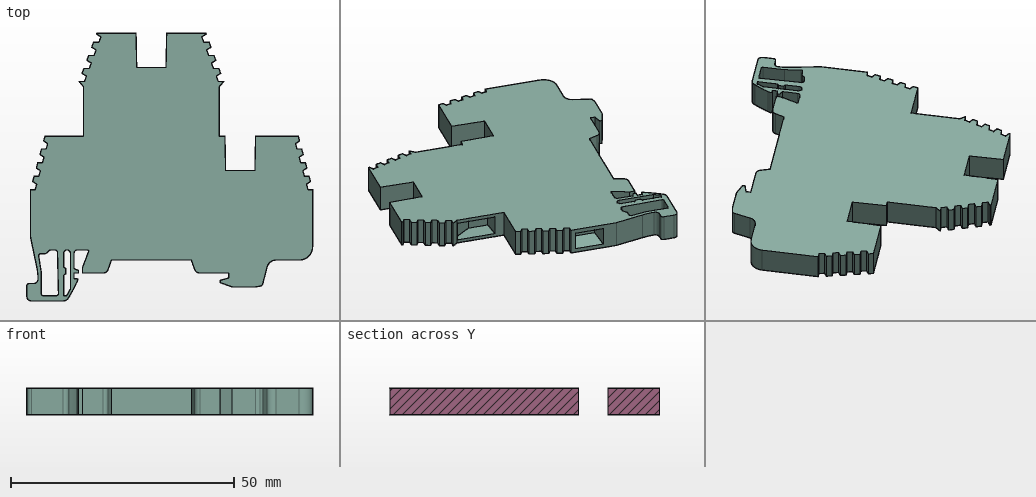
import cadquery as cq
import math

thickness = 6.0
total_width = 64.03
total_height = 60.0

body_left = 0.83
body_right = total_width
body_centre = (body_left + body_right) / 2
shoulder_y = 36.93
body_floor_y = 9.14
body_corner_radius = 3.07

tower_centre = 27.9
tower_half_width = 15.24
tower_wall_top = 48.0
tower_half_top = 12.2

groove_count = 4
groove_height = 1.8
groove_corner_rise = 1.2
upper_ribs_bottom = 49.15
upper_rib_slope = 0.369
upper_rib_pitch = 2.93
upper_rib_depth = 1.2
lower_ribs_bottom = 24.95
lower_rib_slope = 0.27
lower_rib_pitch = 3.03
lower_rib_depth = 1.05

notch_top_width = 6.8
notch_bottom_width = 6.5
notch_depth = 7.7
upper_notch_centre = tower_centre
lower_notch_centre = 47.8

seat_half_width = 8.93
seat_flare = 1.03
seat_corner_radius = 1.3
seat_shoulder_y = 6.24

hook_bottom_y = 3.13
hook_throat_x = 45.2
hook_throat_y = 5.2
hook_tip_x = 43.3
hook_tip_top = 4.65
hook_tip_bottom = 4.1
hook_tip_radius = 0.15

taper_top = 14.3
foot_neck_x = 2.5
foot_shelf_y = 3.94
foot_corner_radius = 1.05
arm_right = 10.62
shoulder_side_x = 12.44
slot_top = 11.42
slot_bottom = 1.24


def rounded_outline(points):
    """Closed outline through (x, y) corners; a third value is that corner's fillet radius."""
    outline = None
    count = len(points)
    for index, point in enumerate(points):
        corner = cq.Vector(point[0], point[1])
        radius = point[2] if len(point) > 2 else 0
        before = points[index - 1]
        after = points[(index + 1) % count]
        back = (cq.Vector(before[0], before[1]) - corner).normalized()
        ahead = (cq.Vector(after[0], after[1]) - corner).normalized()
        half_angle = back.getAngle(ahead) / 2
        tangent = radius / math.tan(half_angle)
        start = corner + back * tangent
        if outline is None:
            outline = cq.Workplane("XY").moveTo(start.x, start.y)
        else:
            outline = outline.lineTo(start.x, start.y)
        if radius:
            bisector = (back + ahead).normalized()
            middle = corner + bisector * (radius / math.sin(half_angle) - radius)
            end = corner + ahead * tangent
            outline = outline.threePointArc((middle.x, middle.y), (end.x, end.y))
    return outline.close()


def rib_points(side_bottom, bottom, slope, pitch, depth):
    """Groove corners of one ribbed edge, from the bottom up, as (half width, y)."""
    points = []
    for index in range(groove_count):
        floor = bottom + index * pitch
        inner_top = floor + groove_corner_rise
        tip = floor + groove_height

        def tip_line(y):
            return side_bottom - slope * (y - bottom)

        points += [
            (tip_line(floor), floor),
            (tip_line(floor) - depth, floor),
            (tip_line(inner_top) - depth, inner_top),
            (tip_line(tip), tip),
        ]
    return points


def right_side(centre, points):
    return [(centre + half, y) for half, y in points]


def left_side(centre, points):
    return [(centre - half, y) for half, y in reversed(points)]


def notch_points(centre, top):
    """Notch corners from right to left."""
    return [
        (centre + notch_top_width / 2, top),
        (centre + notch_bottom_width / 2, top - notch_depth),
        (centre - notch_bottom_width / 2, top - notch_depth),
        (centre - notch_top_width / 2, top),
    ]


def foot_points():
    """Underside of the spring foot, its toe, catch and arm, from left to right."""
    return [
        (0, 0, foot_corner_radius),
        (8.92, 0, 1.4),
        (10.4, 2.4, 30),
        (11.6, 5.02, 0.25),
        (arm_right, 5.02),
        (arm_right, seat_shoulder_y),
        (11.6, seat_shoulder_y, 0.2),
        (11.6, 6.85, 0.2),
        (arm_right, 7.3),
        (arm_right, slot_top, 0.7),
        (13.95, slot_top, 0.25),
        (shoulder_side_x, 7.46),
        (shoulder_side_x, seat_shoulder_y),
    ]


def seat_points():
    seat_left = tower_centre - seat_half_width
    seat_right = tower_centre + seat_half_width
    return [
        (seat_left - seat_flare, seat_shoulder_y, seat_corner_radius),
        (seat_left, body_floor_y),
        (seat_right, body_floor_y),
        (seat_right + seat_flare, seat_shoulder_y, seat_corner_radius),
    ]


def hook_points():
    return [
        (hook_throat_x, seat_shoulder_y),
        (hook_throat_x, hook_throat_y),
        (hook_tip_x, hook_tip_top, hook_tip_radius),
        (hook_tip_x, hook_tip_bottom, hook_tip_radius),
        (46.0, hook_bottom_y),
        (51.2, hook_bottom_y),
        (52.75, 3.42, 0.8),
        (54.22, body_floor_y, 2.0),
    ]


def flank_points():
    """Tapered left flank, from the body wall down to the foot."""
    return [
        (body_left, taper_top),
        (foot_neck_x, 6.3, 13.4),
        (foot_neck_x, foot_shelf_y, 0.95),
        (0, foot_shelf_y, 0.55),
    ]


def lower_edge_points():
    half = (body_right - body_left) / 2
    half_top = half - lower_rib_slope * (shoulder_y - lower_ribs_bottom)
    ribs = rib_points(half, lower_ribs_bottom, lower_rib_slope, lower_rib_pitch, lower_rib_depth)
    return ribs + [(half_top, shoulder_y)]


def tower_edge_points():
    wall = [(tower_half_width, shoulder_y), (tower_half_width, tower_wall_top)]
    half_bottom = tower_half_top + upper_rib_slope * (total_height - upper_ribs_bottom)
    ribs = rib_points(half_bottom, upper_ribs_bottom, upper_rib_slope, upper_rib_pitch, upper_rib_depth)
    return wall + ribs + [(tower_half_top, total_height)]


def body():
    lower_edge = lower_edge_points()
    tower_edge = tower_edge_points()
    outline = foot_points() + seat_points() + hook_points()
    outline.append((body_right, body_floor_y, body_corner_radius))
    outline += right_side(body_centre, lower_edge)
    outline += notch_points(lower_notch_centre, shoulder_y)
    outline += right_side(tower_centre, tower_edge)
    outline += notch_points(upper_notch_centre, total_height)
    outline += left_side(tower_centre, tower_edge)
    outline += left_side(body_centre, lower_edge)
    outline += flank_points()
    return rounded_outline(outline).extrude(thickness)


def wide_slot():
    """Slot between the foot's neck and the middle web."""
    outline = [
        (3.3, slot_bottom, 0.35),
        (7.08, slot_bottom, 0.35),
        (6.85, slot_top, 0.5),
        (5.1, slot_top, 0.8),
        (4.35, 10.57, 0.8),
        (2.62, 10.57, 0.4),
        (3.28, 6.5),
    ]
    return rounded_outline(outline).extrude(thickness)


def narrow_slot():
    """Round-topped slot beside the spring arm, with a bump on its left edge."""
    left, right, bump = 8.3, 9.75, 8.75
    top_radius = 0.7
    outline = [
        (left, slot_bottom),
        (8.95, slot_bottom),
        (right, 2.7),
        (right, slot_top, top_radius),
        (left, slot_top, top_radius),
        (left, 7.6),
        (bump, 7.3),
        (bump, 6.1),
        (left, 5.75),
    ]
    return rounded_outline(outline).extrude(thickness)


def tower_pocket():
    """Wire entry in the tower's left wall, with a ramp leading to its deepest part."""
    wall = tower_centre - tower_half_width
    top, ramp_end, floor_end, bottom = 47.85, 44.0, 39.45, 39.05
    step_depth, full_depth = 1.17, 4.0
    height = 4.35
    outline = [
        (wall, top),
        (wall + step_depth, top),
        (wall + full_depth, ramp_end),
        (wall + full_depth, floor_end),
        (wall, bottom),
    ]
    return (
        cq.Workplane("XY", origin=(0, 0, (thickness - height) / 2))
        .polyline(outline).close().extrude(height)
    )


def body_pocket():
    """Tapered wire entry in the body's left wall."""
    centre_y = 20.6
    depth = 4.0
    mouth_length, mouth_height = 6.5, 4.05
    floor_length, floor_height = 5.0, 2.5
    return (
        cq.Workplane("YZ", origin=(body_left, centre_y, thickness / 2))
        .rect(mouth_length, mouth_height)
        .workplane(offset=depth)
        .rect(floor_length, floor_height)
        .loft(ruled=True)
    )


result = body()
for cutter in (wide_slot(), narrow_slot(), tower_pocket(), body_pocket()):
    result = result.cut(cutter)